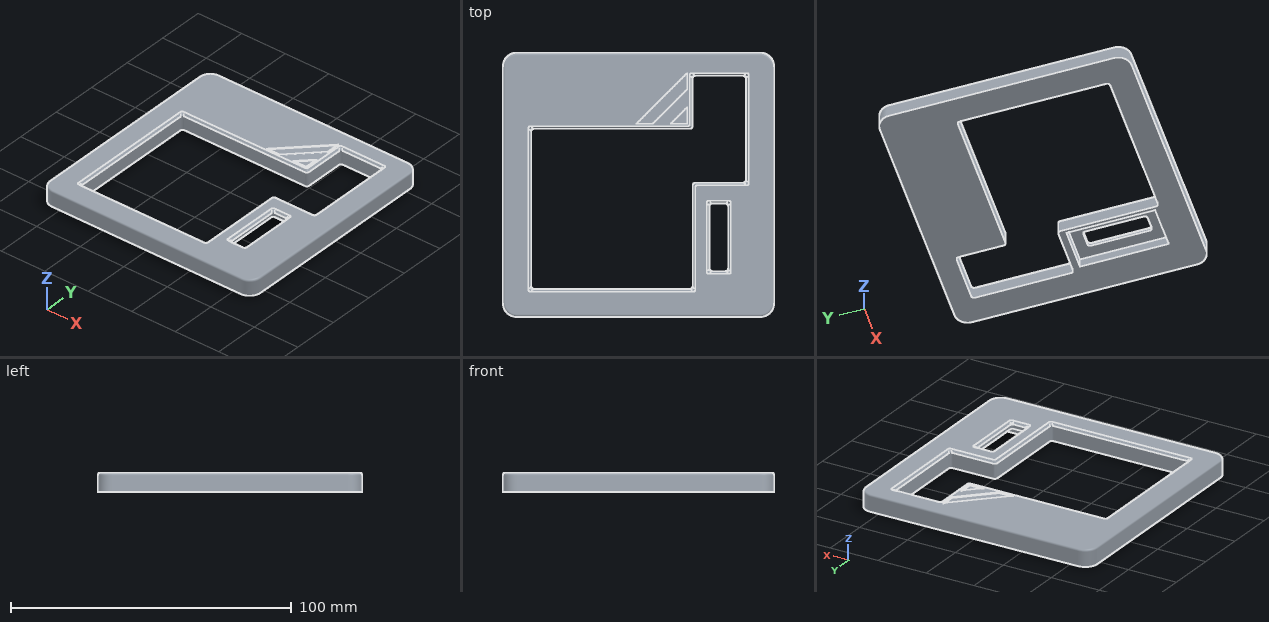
import cadquery as cq

length = 96.72
width = 94.23
thickness = 7.0
corner_radius = 5.0
edge_radius = 1.0

main_left = -38.2
main_right = 19.25
main_bottom = -37.05
main_top = 19.9
upper_left = main_right
upper_right = 38.25
upper_bottom = 0.8
upper_top = 38.8

opening_bevel = 1.0
opening_corner_radius = 1.0

slot_left = 25.3
slot_right = 31.9
slot_bottom = -30.7
slot_top = -6.7

slot_rim_thickness = 2.7
pocket_margin = 4.6

stripe_depth = 0.4
stripe_right = 17.3
stripe_bottom = 21.7
outer_leg = 18.1
middle_leg = 12.3
inner_leg = 5.9


def plate():
    body = cq.Workplane("XY").box(length, width, thickness, centered=(True, True, False))
    body = body.edges("|Z").fillet(corner_radius)
    return body.faces(">Z").edges().fillet(edge_radius)


def opening(outline):
    """Through cutter for an outline given as a function of how far its walls are pushed outward."""
    bevel_start = thickness - opening_bevel
    walls = cq.Workplane("XY").polyline(outline(0)).close().extrude(bevel_start)
    flare = (
        cq.Workplane("XY")
        .workplane(offset=bevel_start)
        .polyline(outline(0))
        .close()
        .workplane(offset=opening_bevel)
        .polyline(outline(opening_bevel))
        .close()
        .loft(ruled=True)
    )
    upright_edges = "not #Z"
    cutter = walls.union(flare)
    return cutter.edges(upright_edges).fillet(opening_corner_radius)


def window_outline(growth):
    """L-shaped window corners, counter-clockwise from the lower left."""
    left = main_left - growth
    bottom = main_bottom - growth
    lower_right = main_right + growth
    step_bottom = upper_bottom - growth
    right = upper_right + growth
    top = upper_top + growth
    step_left = upper_left - growth
    step_top = main_top + growth
    return [
        (left, bottom),
        (lower_right, bottom),
        (lower_right, step_bottom),
        (right, step_bottom),
        (right, top),
        (step_left, top),
        (step_left, step_top),
        (left, step_top),
    ]


def slot_outline(growth):
    """Rectangular slot corners, counter-clockwise from the lower left."""
    left = slot_left - growth
    bottom = slot_bottom - growth
    right = slot_right + growth
    top = slot_top + growth
    return [(left, bottom), (right, bottom), (right, top), (left, top)]


def underside_pocket():
    """Pocket that leaves only a thin rim of plate around the slot."""
    depth = thickness - slot_rim_thickness
    return cq.Workplane("XY").polyline(slot_outline(pocket_margin)).close().extrude(depth)


def corner_triangle(leg):
    """Right triangle of stripe depth, its right angle at the corner beside the window."""
    corner = (stripe_right, stripe_bottom)
    points = [corner, (stripe_right, stripe_bottom + leg), (stripe_right - leg, stripe_bottom)]
    floor = cq.Workplane("XY").workplane(offset=thickness - stripe_depth)
    return floor.polyline(points).close().extrude(stripe_depth)


def stripes():
    """Diagonal band and the small triangle nested in its corner."""
    band = corner_triangle(outer_leg).cut(corner_triangle(middle_leg))
    return band, corner_triangle(inner_leg)


result = plate()
for outline in (window_outline, slot_outline):
    result = result.cut(opening(outline))
result = result.cut(underside_pocket())
for stripe in stripes():
    result = result.cut(stripe)